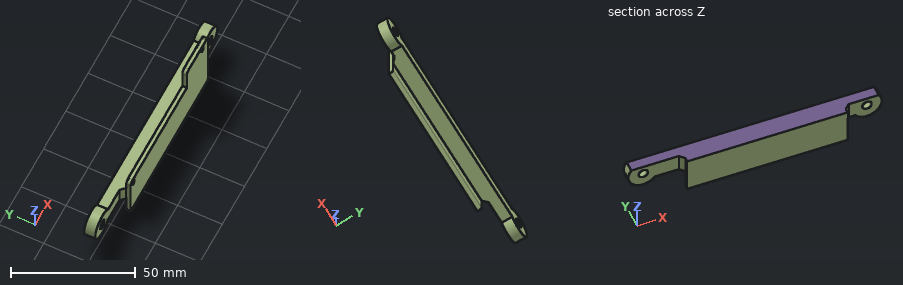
import cadquery as cq

overall_length = 110.0
eyelet_diameter = 13.0
eyelet_bore = 4.0
bar_thickness = 5.1
bar_height = 8.0
eyelet_offset = (overall_length - eyelet_diameter) / 2

pad_thickness = 2.0

plate_thickness = 2.0
plate_length = 69.7
plate_inset = 23.9
plate_left = -overall_length / 2 + plate_inset
plate_right = plate_left + plate_length
plate_bottom = -12.5
plate_height = 32.7
plate_top = plate_bottom + plate_height
step_height = 21.5
step_top = plate_bottom + step_height
tab_width = 19.2
tab_left = plate_right - tab_width
corner_radius = 2.0
bottom_edge_radius = 1.6

left_hole_diameter = 2.5
left_hole_inset = 2.4
left_hole_drop = 2.5
tab_hole_diameter = 2.3
tab_hole_inset = 5.2
tab_hole_drop = 2.3

bar_front = -bar_thickness
plate_back = bar_front - pad_thickness


def cylinder_along_y(x, z, diameter, back, depth):
    """Cylinder starting at Y = back and running toward -Y."""
    return (
        cq.Workplane("XZ", origin=(x, back, z))
        .circle(diameter / 2)
        .extrude(depth)
    )


def make_bar():
    bar = cq.Workplane("XZ").rect(2 * eyelet_offset, bar_height).extrude(bar_thickness)
    for x in (-eyelet_offset, eyelet_offset):
        bar = bar.union(cylinder_along_y(x, 0, eyelet_diameter, 0, bar_thickness))
    for x in (-eyelet_offset, eyelet_offset):
        bar = bar.cut(cylinder_along_y(x, 0, eyelet_bore, 0, bar_thickness))
    return bar


def make_pad():
    return (
        cq.Workplane("XY", origin=(0, 0, -bar_height / 2))
        .moveTo(plate_left - pad_thickness, bar_front)
        .lineTo(plate_right + pad_thickness, bar_front)
        .lineTo(plate_right, plate_back)
        .lineTo(plate_left, plate_back)
        .close()
        .extrude(bar_height)
    )


def make_plate():
    plate = (
        cq.Workplane("XZ", origin=(0, plate_back, 0))
        .moveTo(plate_left, plate_bottom)
        .lineTo(plate_right, plate_bottom)
        .lineTo(plate_right, plate_top - corner_radius)
        .radiusArc((plate_right - corner_radius, plate_top), -corner_radius)
        .lineTo(tab_left + corner_radius, plate_top)
        .radiusArc((tab_left, plate_top - corner_radius), -corner_radius)
        .lineTo(tab_left, step_top)
        .lineTo(plate_left + corner_radius, step_top)
        .radiusArc((plate_left, step_top - corner_radius), -corner_radius)
        .close()
        .extrude(plate_thickness)
    )
    plate = plate.faces("<Z").edges(">Y").fillet(bottom_edge_radius)

    left_hole = cylinder_along_y(
        plate_left + left_hole_inset, step_top - left_hole_drop,
        left_hole_diameter, plate_back, plate_thickness,
    )
    tab_hole = cylinder_along_y(
        plate_right - tab_hole_inset, plate_top - tab_hole_drop,
        tab_hole_diameter, plate_back, plate_thickness,
    )
    return plate.cut(left_hole).cut(tab_hole)


result = make_bar().union(make_pad()).union(make_plate())